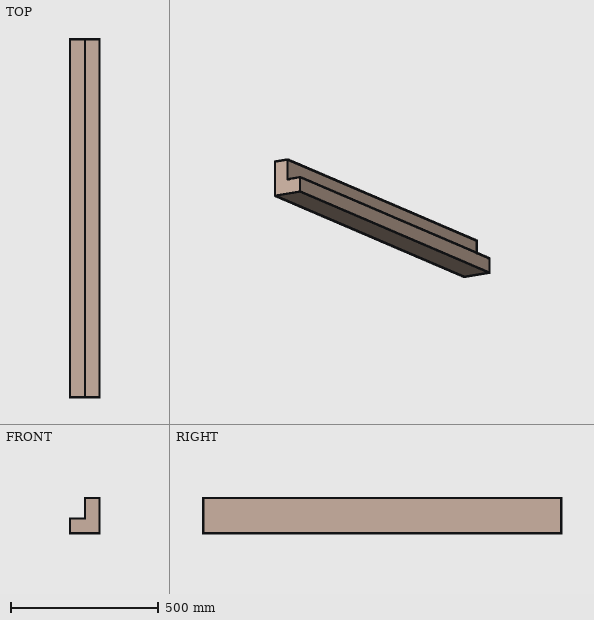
import cadquery as cq

width = 101.6
length = 1215.97
height = 120.65

wall_thickness = 50.8
foot_thickness = 50.8


def angle_section():
    """L-shaped outline in XZ: foot along the bottom, upright wall on the +X side."""
    half_width = width / 2
    wall_inner_x = half_width - wall_thickness
    return (
        cq.Workplane("XZ")
        .moveTo(-half_width, 0)
        .lineTo(half_width, 0)
        .lineTo(half_width, height)
        .lineTo(wall_inner_x, height)
        .lineTo(wall_inner_x, foot_thickness)
        .lineTo(-half_width, foot_thickness)
        .close()
    )


result = angle_section().extrude(length / 2, both=True)